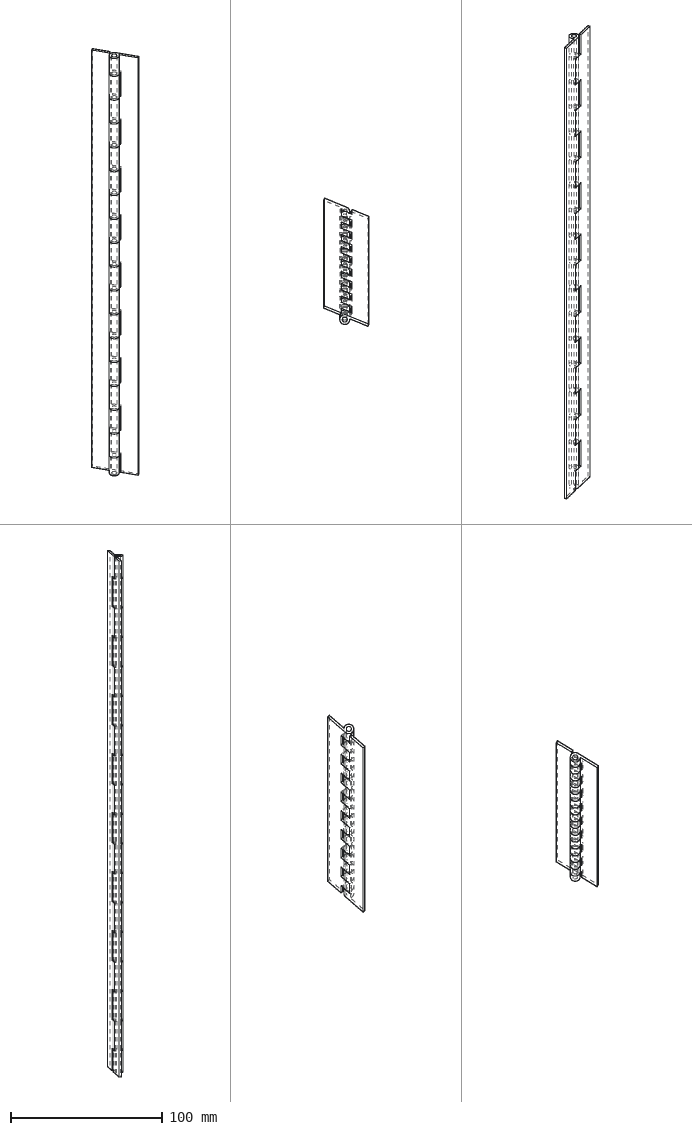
import cadquery as cq

length = 350.0
open_width = 32.0
barrel_diameter = 6.5
sheet_thickness = 1.65
barrel_clearance = 0.52

knuckle_count = 18
end_knuckle_ratio = 0.75
full_knuckle_length = length / (knuckle_count - 2 + 2 * end_knuckle_ratio)
end_knuckle_length = end_knuckle_ratio * full_knuckle_length

barrel_radius = barrel_diameter / 2
pin_radius = barrel_radius - sheet_thickness
notch_edge = barrel_radius + barrel_clearance
leaf_width = open_width / 2
leaf_front = barrel_radius - sheet_thickness
bottom = -length / 2


def sheet_strip(x_start, x_end, z_start, height):
    """Flat piece of leaf whose back face is tangent to the barrel."""
    return cq.Workplane("XY").box(
        x_end - x_start, sheet_thickness, height, centered=False
    ).translate((x_start, leaf_front, z_start))


def barrel_rod(radius, z_start, height):
    """Solid cylinder on the hinge axis."""
    return cq.Workplane("XY").workplane(offset=z_start).circle(radius).extrude(height)


def knuckle_span(index):
    """Start height and length of one knuckle."""
    if index == 0:
        return bottom, end_knuckle_length
    z_start = bottom + end_knuckle_length + (index - 1) * full_knuckle_length
    if index == knuckle_count - 1:
        return z_start, end_knuckle_length
    return z_start, full_knuckle_length


def make_leaf(first_knuckle):
    """Leaf on the +X side that carries every second knuckle, bored for the pin."""
    leaf = sheet_strip(notch_edge, leaf_width, bottom, length)
    for index in range(first_knuckle, knuckle_count, 2):
        z_start, height = knuckle_span(index)
        leaf = leaf.union(sheet_strip(0, notch_edge, z_start, height))
        leaf = leaf.union(barrel_rod(barrel_radius, z_start, height))
    return leaf.cut(barrel_rod(pin_radius, bottom, length))


right_leaf = make_leaf(first_knuckle=1)
left_leaf = make_leaf(first_knuckle=0).mirror("YZ")
pin = barrel_rod(pin_radius, bottom, length)

result = cq.Compound.makeCompound([right_leaf.val(), left_leaf.val(), pin.val()])